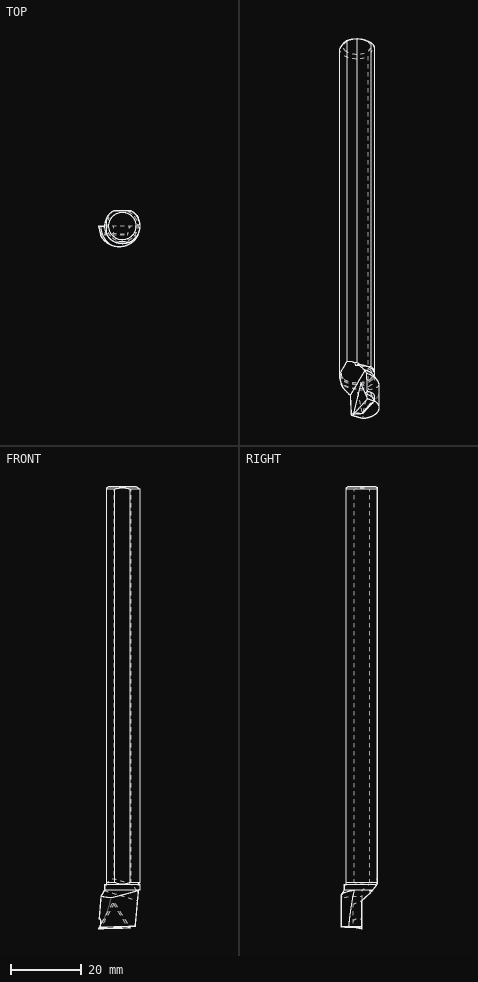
import cadquery as cq
import math

overall_length = 126.2
shank_diameter = 10.1
shank_radius = shank_diameter / 2
flat_distance = 4.5
rear_flat_distance = 4.4
top_face_radius = 3.9
top_chamfer_height = 0.8
shank_bottom = 12.6
shank_end_chamfer = 0.6

collar_radius = shank_radius
collar_bottom = 11.1
flare_half_angle = 30.0

head_bottom = 0.4
head_radius = 5.9
head_offset_x = -0.9
relief_radius = 6.6
relief_center_x = 0.44
relief_level = 8.8
relief_angle = 4.6
right_side_x = 3.7
right_side_angle = 5.2
bottom_relief_angle = 2.0

runout_height = 9.3
runout_slope_x = -0.3
runout_slope_y = 0.95

tip_x = -6.8
insert_side = 9.1
insert_thickness = 2.5
insert_clearance = 11.0
insert_tilt = 1.5
notch_height = 2.8
notch_right = -4.8
notch_corner_diameter = 1.8

margin = 12.6


def make_shank():
    length = overall_length - shank_bottom
    profile = [
        (0, shank_bottom),
        (shank_radius - shank_end_chamfer, shank_bottom),
        (shank_radius, shank_bottom + shank_end_chamfer),
        (shank_radius, overall_length - top_chamfer_height),
        (top_face_radius, overall_length),
        (0, overall_length),
    ]
    bar = cq.Workplane("XZ").polyline(profile).close().revolve(360, (0, 0, 0), (0, 1, 0))
    flats = cq.Workplane("XY", origin=(-flat_distance, -flat_distance, shank_bottom)).box(
        flat_distance + shank_radius,
        flat_distance + rear_flat_distance,
        length,
        centered=False,
    )
    return bar.intersect(flats)


def make_flared_neck():
    flare_radius = collar_radius + collar_bottom * math.tan(math.radians(flare_half_angle))
    profile = [
        (0, 0),
        (flare_radius, 0),
        (collar_radius, collar_bottom),
        (collar_radius, shank_bottom),
        (0, shank_bottom),
    ]
    return cq.Workplane("XZ").polyline(profile).close().revolve(360, (0, 0, 0), (0, 1, 0))


def make_head_envelope():
    upright = cq.Workplane("XY").center(head_offset_x, 0).circle(head_radius).extrude(collar_bottom)
    relief_origin = (relief_center_x, 0, relief_level)
    leaning = (
        cq.Workplane("XY", origin=relief_origin)
        .circle(relief_radius)
        .extrude(2 * margin, both=True)
        .rotate(relief_origin, (relief_center_x, 1, relief_level), relief_angle)
    )
    right_foot = (right_side_x, 0, head_bottom)
    right_of_head = (
        cq.Workplane("XY", origin=right_foot)
        .box(margin, 4 * margin, 4 * margin, centered=(False, True, True))
        .rotate(right_foot, (right_side_x, 1, head_bottom), right_side_angle)
    )
    below = cq.Workplane("XY", origin=(tip_x, 0, head_bottom)).box(
        4 * margin, 4 * margin, margin, centered=(True, True, False)
    )
    below = below.translate((0, 0, -margin)).rotate(
        (tip_x, 0, head_bottom), (tip_x, 1, head_bottom), -bottom_relief_angle
    )
    return upright.intersect(leaning).cut(right_of_head).cut(below)


def make_rake_cut():
    normal = cq.Vector(-runout_slope_x, -runout_slope_y, 1)
    plane = cq.Plane(origin=(0, 0, runout_height), xDir=(0, 1, runout_slope_y), normal=normal)
    below_plane = cq.Workplane(plane).rect(4 * margin, 4 * margin).extrude(-3 * margin)
    rear_half = cq.Workplane("XY").box(
        4 * margin, 2 * margin, 6 * margin, centered=(True, False, True)
    )
    return below_plane.intersect(rear_half)


def make_insert():
    height = insert_side * math.sin(math.radians(60))
    outline = [(tip_x, 0), (tip_x + insert_side, 0), (tip_x + insert_side / 2, height)]
    plate = cq.Workplane("XZ").polyline(outline).close().extrude(insert_thickness, taper=insert_clearance)
    return plate.rotate((tip_x, 0, 0), (tip_x, 1, 0), -insert_tilt)


def make_notch():
    return (
        cq.Workplane("XY", origin=(notch_right - margin, -insert_thickness, notch_height - margin))
        .box(margin, margin, margin, centered=False)
        .edges("|X and >Z and <Y")
        .fillet(notch_corner_diameter / 2)
    )


def make_holder(insert):
    neck_and_head = make_flared_neck().intersect(
        make_head_envelope().union(
            cq.Workplane("XY", origin=(0, 0, collar_bottom))
            .circle(collar_radius)
            .extrude(shank_bottom - collar_bottom)
        )
    )
    body = make_shank().union(neck_and_head).cut(make_rake_cut())
    return body.cut(make_notch()).cut(insert)


insert = make_insert()
holder = make_holder(insert)
result = cq.Compound.makeCompound([holder.val(), insert.val()])